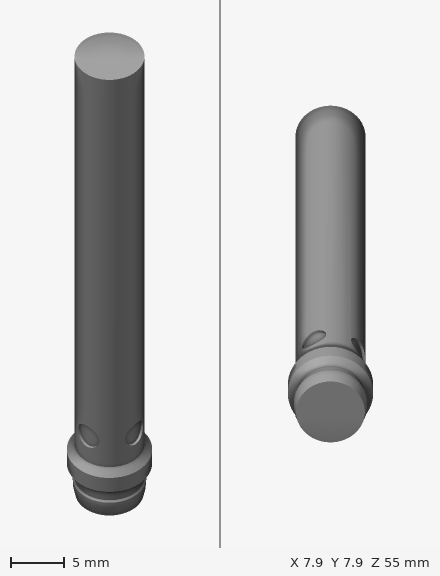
import cadquery as cq
import math

total_height = 55.0
sleeve_radius = 3.25
wall = 0.25
bore_radius = sleeve_radius - wall

collar_radius = 3.95
collar_chamfer = collar_radius - sleeve_radius
collar_bottom = 2.95
collar_top = 6.15

lip_radius = 3.4
lip_flare = lip_radius - sleeve_radius
lip_bottom = 1.5
lip_top = 1.8
foot_radius = 3.2
foot_inset = lip_radius - foot_radius
foot_arc_radius = (lip_bottom**2 + foot_inset**2) / (2 * foot_inset)
foot_mid_angle = math.asin(lip_bottom / foot_arc_radius) / 2
foot_mid = (
    lip_radius - foot_arc_radius * (1 - math.cos(foot_mid_angle)),
    lip_bottom - foot_arc_radius * math.sin(foot_mid_angle),
)

window_diameter = 2.6
window_height = 9.35
window_count = 4

guide_bottom = collar_top
guide_top = 2 * window_height - guide_bottom


def make_cylinder(radius, bottom, top):
    return cq.Workplane("XY").workplane(offset=bottom).circle(radius).extrude(top - bottom)


def make_window_cutter(angle):
    cutter = (
        cq.Workplane("XZ")
        .center(0, window_height)
        .circle(window_diameter / 2)
        .extrude(collar_radius)
    )
    return cutter.rotate((0, 0, 0), (0, 0, 1), angle)


def make_sleeve():
    sleeve = (
        cq.Workplane("XZ")
        .lineTo(foot_radius, 0)
        .threePointArc(foot_mid, (lip_radius, lip_bottom))
        .lineTo(lip_radius, lip_top)
        .lineTo(sleeve_radius, lip_top + lip_flare)
        .lineTo(sleeve_radius, collar_bottom)
        .lineTo(collar_radius, collar_bottom + collar_chamfer)
        .lineTo(collar_radius, collar_top - collar_chamfer)
        .lineTo(sleeve_radius, collar_top)
        .lineTo(sleeve_radius, total_height)
        .lineTo(0, total_height)
        .close()
        .revolve(360, (0, 0, 0), (0, 1, 0))
    )
    sleeve = sleeve.cut(make_cylinder(bore_radius, guide_bottom, total_height))
    for index in range(window_count):
        sleeve = sleeve.cut(make_window_cutter(index * 360 / window_count))
    return sleeve


def make_light_guide():
    return make_cylinder(bore_radius, guide_bottom, guide_top)


def make_face_plug():
    return make_cylinder(bore_radius, guide_top, total_height)


sleeve = make_sleeve()
light_guide = make_light_guide()
face_plug = make_face_plug()

result = cq.Compound.makeCompound([sleeve.val(), light_guide.val(), face_plug.val()])